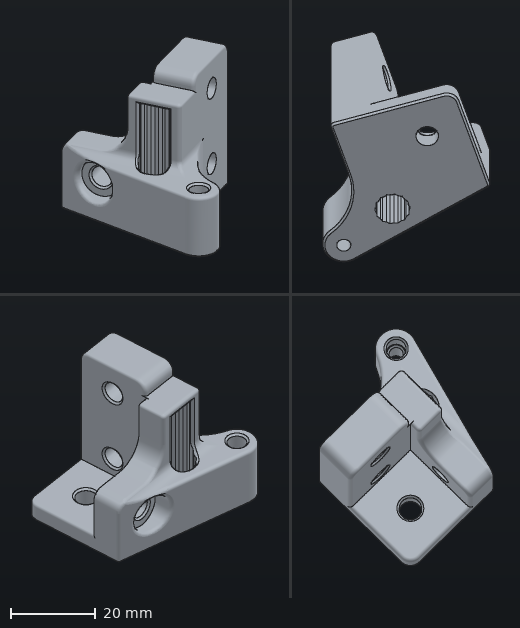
import cadquery as cq
import math


block_width = 31.0
block_depth = 28.0
total_height = 38.0
plate_thickness = 5.0
upright_left = 20.0
upright_depth = 20.0
step_left = 17.0
step_height = 34.0
wall_height = 18.0
wall_sweep_radius = 7.0

arm_height = 16.0
lobe_x = 38.0
lobe_y = -33.25
lobe_radius = 5.0
arm_back_radius = 15.0
arm_right = lobe_x + lobe_radius
arm_front = lobe_y - lobe_radius

corner_radius = 3.0
cove_radius = 3.0
edge_radius = 1.0
edge_chamfer = 0.5

hole_radius = 5.3 / 2
hole_inset = 10.0
upper_hole_height = 3 * hole_inset
pocket_radius = 10.0 / 2
pocket_floor_y = -27.0
pocket_rim_radius = 1.0

insert_radius = 4.7 / 2
insert_depth = 6.0
insert_screw_radius = 3.3 / 2

bore_x = 24.0
bore_y = -27.0
bore_height = 32.0
bore_valley_radius = 4.15
bore_crest_radius = 3.9
tooth_count = 14
tooth_depth = bore_valley_radius - bore_crest_radius

to_right = (1, 0, 0)
to_back = (0, 1, 0)
to_front = (0, -1, 0)
downward = (0, 0, -1)


def box(x0, x1, y0, y1, z0, z1):
    size = (x1 - x0, y1 - y0, z1 - z0)
    return cq.Workplane("XY").box(*size, centered=False).translate((x0, y0, z0))


def rod(start, direction, radius, length):
    return cq.Workplane(cq.Solid.makeCylinder(radius, length, cq.Vector(*start), cq.Vector(*direction)))


def chamfered_bore(start, direction, radius, length):
    """Cylinder that is widened by a chamfer where it enters the material."""
    entry = cq.Solid.makeCone(
        radius + edge_chamfer, radius, edge_chamfer, cq.Vector(*start), cq.Vector(*direction)
    )
    return rod(start, direction, radius, length).union(cq.Workplane(entry))


def arc_middle(center, start, end):
    """Point halfway along the short arc between two points on a circle."""
    radius = math.dist(center, start)
    dx = start[0] + end[0] - 2 * center[0]
    dy = start[1] + end[1] - 2 * center[1]
    length = math.hypot(dx, dy)
    return (center[0] + radius * dx / length, center[1] + radius * dy / length)


def edges_near(part, points):
    """The edges of the part whose middles lie closest to the given points."""
    edges = part.edges().vals()
    return part.newObject(
        [min(edges, key=lambda edge: (edge.positionAt(0.5) - cq.Vector(*point)).Length) for point in points]
    )


def wall_prism(right, y0, y1):
    """Front wall outline with its rounded shoulder and swept step, cut square at the right."""
    shoulder_center = (corner_radius, wall_height - corner_radius)
    shoulder_start = (0, shoulder_center[1])
    shoulder_end = (corner_radius, wall_height)
    sweep_center = (step_left - wall_sweep_radius, wall_height + wall_sweep_radius)
    sweep_start = (sweep_center[0], wall_height)
    sweep_end = (step_left, sweep_center[1])
    return (
        cq.Workplane("XZ", origin=(0, y1, 0))
        .lineTo(*shoulder_start)
        .threePointArc(arc_middle(shoulder_center, shoulder_start, shoulder_end), shoulder_end)
        .lineTo(*sweep_start)
        .threePointArc(arc_middle(sweep_center, sweep_start, sweep_end), sweep_end)
        .lineTo(step_left, step_height)
        .lineTo(right, step_height)
        .lineTo(right, 0)
        .close()
        .extrude(y1 - y0)
    )


def arm_prism(height):
    """Arm outline: straight in front, round at the lobe, hollow arc back to the block."""
    corner = (0, -block_depth)
    lobe = (lobe_x, lobe_y)
    fall = math.atan2(corner[1] - lobe_y, lobe_x)
    slope = fall + math.asin(lobe_radius / math.dist(corner, lobe))
    front_tangent = (lobe_x - lobe_radius * math.sin(slope), lobe_y - lobe_radius * math.cos(slope))
    lobe_tip = (lobe_x + lobe_radius * math.cos(slope), lobe_y - lobe_radius * math.sin(slope))

    span = arm_back_radius + lobe_radius
    back_x = block_width + arm_back_radius
    back_center = (back_x, lobe_y + math.sqrt(span**2 - (back_x - lobe_x) ** 2))
    share = lobe_radius / span
    back_tangent = (
        lobe_x + share * (back_center[0] - lobe_x),
        lobe_y + share * (back_center[1] - lobe_y),
    )
    back_end = (block_width, back_center[1])
    return (
        cq.Workplane("XY")
        .moveTo(*corner)
        .lineTo(*front_tangent)
        .threePointArc(lobe_tip, back_tangent)
        .threePointArc(arc_middle(back_center, back_tangent, back_end), back_end)
        .lineTo(block_width, -block_depth)
        .close()
        .extrude(height)
    )


def arm_with_cove():
    """Arm with a mitred cove where its top meets the front and right side of the block."""
    cove_right = block_width + cove_radius
    cove_front = -block_depth - cove_radius
    cove_top = arm_height + cove_radius
    cove = (
        box(0, cove_right, cove_front, 0, arm_height, cove_top)
        .cut(rod((0, cove_front, cove_top), to_right, cove_radius, cove_right))
        .cut(rod((cove_right, cove_front, cove_top), to_back, cove_radius, -cove_front))
        .intersect(arm_prism(cove_top))
    )
    return arm_prism(arm_height).union(cove).intersect(wall_prism(arm_right, arm_front, 0))


def rough_body():
    plate = box(0, block_width, -block_depth, 0, 0, plate_thickness)
    plate = plate.edges("|Z and <X and >Y").fillet(corner_radius)
    upright = box(upright_left, block_width, -upright_depth, 0, 0, total_height)
    upright = upright.edges("|X and >Z").fillet(corner_radius)
    wall = wall_prism(block_width, -block_depth, -upright_depth)
    return plate.union(upright).union(wall).union(arm_with_cove()).clean()


def round_edges(body):
    """Round the outer edges; each point picks one edge and its tangent chain follows."""
    wall_middle = -(block_depth + upright_depth) / 2
    step_middle = (wall_height + step_height) / 2
    step_top_middle = (step_left + block_width) / 2
    low_middle = arm_height / 2
    points = [
        (upright_left / 2, 0, plate_thickness),
        (0, -upright_depth / 2, plate_thickness),
        (0, -upright_depth, low_middle),
        ((step_left + upright_left) / 2, -upright_depth, step_height),
        (step_left, -upright_depth, step_height - corner_radius),
        (block_width, 0, total_height / 2),
        (step_left, wall_middle, step_height),
        (step_top_middle, -block_depth, step_height),
        (block_width, wall_middle, step_height),
        (block_width, -block_depth, step_middle),
        (step_left, -block_depth, step_height - corner_radius),
        (2 * corner_radius, -block_depth, wall_height),
        (0, -block_depth, low_middle),
        (arm_right, lobe_y, arm_height),
    ]
    body = edges_near(body, points).fillet(edge_radius)
    upright_top_left = (upright_left, -upright_depth / 2, total_height)
    return edges_near(body, [upright_top_left]).fillet(edge_radius)


def toothed_bore():
    points = []
    for step in range(2 * tooth_count):
        radius = bore_crest_radius if step % 2 else bore_valley_radius
        angle = math.pi * step / tooth_count
        points.append((bore_x + radius * math.sin(angle), bore_y + radius * math.cos(angle)))
    return cq.Workplane("XY").polyline(points).close().extrude(bore_height)


def cut_toothed_bore(body):
    """Cut a round bore at the crests, chamfer its mouth, then cut the teeth into it."""
    round_height = bore_height - tooth_depth
    body = body.cut(cq.Workplane("XY").center(bore_x, bore_y).circle(bore_crest_radius).extrude(round_height))
    mouth_middle = (arm_height + round_height) / 2
    mouth = [
        (bore_x - bore_crest_radius, -block_depth, mouth_middle),
        (bore_x + bore_crest_radius, -block_depth, mouth_middle),
        (bore_x, -block_depth, round_height),
        (bore_x, bore_y - bore_crest_radius, arm_height),
    ]
    body = edges_near(body, mouth).chamfer(edge_chamfer + tooth_depth)
    return body.cut(toothed_bore())


def screw_pocket():
    """Screw head pocket in the slanted front: what a round-rimmed hole takes out of a slab."""
    slab = arm_prism(2 * arm_height).union(box(0, block_width, -block_depth, 0, 0, 2 * arm_height))
    floor = (hole_inset, pocket_floor_y, hole_inset)
    drill = rod(floor, to_front, pocket_radius, pocket_floor_y - arm_front)
    rounded = slab.cut(drill).edges("%ELLIPSE").fillet(pocket_rim_radius)
    return slab.cut(rounded)


def cut_mounting_holes(body):
    for height in (hole_inset, upper_hole_height):
        start = (upright_left, -hole_inset, height)
        body = body.cut(chamfered_bore(start, to_right, hole_radius, block_width - upright_left))
    plate_hole = (hole_inset, -hole_inset, plate_thickness)
    body = body.cut(chamfered_bore(plate_hole, downward, hole_radius, plate_thickness))
    front_hole = (hole_inset, pocket_floor_y, hole_inset)
    front_length = -upright_depth - pocket_floor_y
    return body.cut(screw_pocket()).cut(chamfered_bore(front_hole, to_back, hole_radius, front_length))


def cut_insert_hole(body):
    top = (lobe_x, lobe_y, arm_height)
    floor = (lobe_x, lobe_y, arm_height - insert_depth)
    body = body.cut(chamfered_bore(top, downward, insert_radius, insert_depth))
    return body.cut(chamfered_bore(floor, downward, insert_screw_radius, floor[2]))


result = round_edges(rough_body())
result = result.faces("<Z").edges().chamfer(edge_chamfer)
result = cut_toothed_bore(result)
result = cut_mounting_holes(result)
result = cut_insert_hole(result)